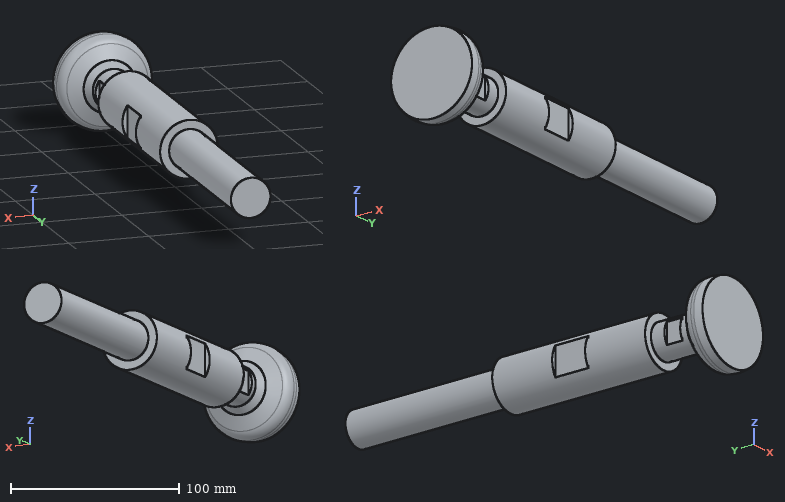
import cadquery as cq

total_length = 283.0

rod_radius = 12.5
rod_flat_spacing = 20.0
rod_flat_start = 30.0
rod_flat_length = 12.0

foot_face_radius = 29.1
foot_rim_radius = 30.0
foot_rim_height = 6.0
shoulder_base_radius = 29.7
shoulder_base_height = 8.5
shoulder_top_radius = 25.5
shoulder_top_height = 15.3
neck_base_radius = 16.5
neck_base_height = 19.5
neck_top_height = 25.0

sleeve_radius = 18.0
sleeve_start = 52.0
sleeve_length = (total_length - sleeve_start) / 2
sleeve_flat_spacing = 30.0
sleeve_flat_length = 25.0
sleeve_flat_start = sleeve_start + (sleeve_length - sleeve_flat_length) / 2


def cut_wrench_flats(body, radius, spacing, start, length):
    """Cut two opposite flats, facing -X and +X, into a round body."""
    depth = radius - spacing / 2
    for side in (-1, 1):
        cutter = cq.Workplane("XY").box(depth, length, 2 * radius)
        center_x = side * (spacing + depth) / 2
        body = body.cut(cutter.translate((center_x, start + length / 2, 0)))
    return body


def make_spindle():
    """Revolve the rod and foot as one piece, then cut the rod's wrench flats."""
    body = (
        cq.Workplane("XY")
        .lineTo(0, total_length)
        .lineTo(rod_radius, total_length)
        .lineTo(rod_radius, neck_top_height)
        .lineTo(neck_base_radius, neck_base_height)
        .lineTo(shoulder_top_radius, shoulder_top_height)
        .tangentArcPoint((shoulder_base_radius, shoulder_base_height), relative=False)
        .lineTo(foot_rim_radius, foot_rim_height)
        .lineTo(foot_face_radius, 0)
        .close()
        .revolve(360, (0, 0, 0), (0, 1, 0))
    )
    return cut_wrench_flats(body, rod_radius, rod_flat_spacing, rod_flat_start, rod_flat_length)


def make_sleeve():
    """Tube that fits the rod, with wrench flats at mid-length."""
    tube = (
        cq.Workplane("XZ", origin=(0, sleeve_start, 0))
        .circle(sleeve_radius)
        .circle(rod_radius)
        .extrude(-sleeve_length)
    )
    return cut_wrench_flats(
        tube, sleeve_radius, sleeve_flat_spacing, sleeve_flat_start, sleeve_flat_length
    )


spindle = make_spindle()
sleeve = make_sleeve()

result = cq.Compound.makeCompound([spindle.val(), sleeve.val()])